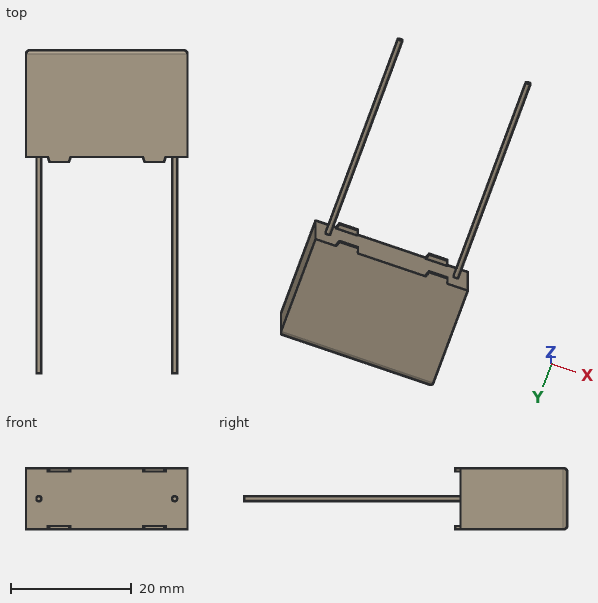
import cadquery as cq

overall_length = 53.6
case_width = 26.8
case_height = 10.2

case_length = 17.75
end_fillet = 0.7

tab_pitch = 15.75
tab_root_width = 3.8
tab_tip_width = 3.2
tab_length = 0.85
tab_thickness = 0.6

lead_pitch = 22.5
lead_diameter = 0.85
lead_length = overall_length - case_length


def make_tab(x_center, z_bottom):
    """Tapered standoff tab that grows from the lead face (y = 0) toward -Y."""
    return (
        cq.Workplane("XY")
        .workplane(offset=z_bottom)
        .moveTo(x_center - tab_root_width / 2, 0)
        .lineTo(x_center + tab_root_width / 2, 0)
        .lineTo(x_center + tab_tip_width / 2, -tab_length)
        .lineTo(x_center - tab_tip_width / 2, -tab_length)
        .close()
        .extrude(tab_thickness)
    )


def make_case():
    """Block with its far end rounded and four standoff tabs, flush with its top and bottom."""
    case = (
        cq.Workplane("XY")
        .box(case_width, case_length, case_height, centered=(True, False, True))
        .faces(">Y")
        .edges()
        .fillet(end_fillet)
    )
    for x_center in (-tab_pitch / 2, tab_pitch / 2):
        for z_bottom in (-case_height / 2, case_height / 2 - tab_thickness):
            case = case.union(make_tab(x_center, z_bottom))
    return case


def make_lead(x_center):
    """Straight round wire that starts on the lead face and runs toward -Y."""
    return (
        cq.Workplane("XZ")
        .center(x_center, 0)
        .circle(lead_diameter / 2)
        .extrude(lead_length)
    )


case = make_case()
leads = [make_lead(x_center) for x_center in (-lead_pitch / 2, lead_pitch / 2)]

result = cq.Compound.makeCompound([case.val(), *[lead.val() for lead in leads]])